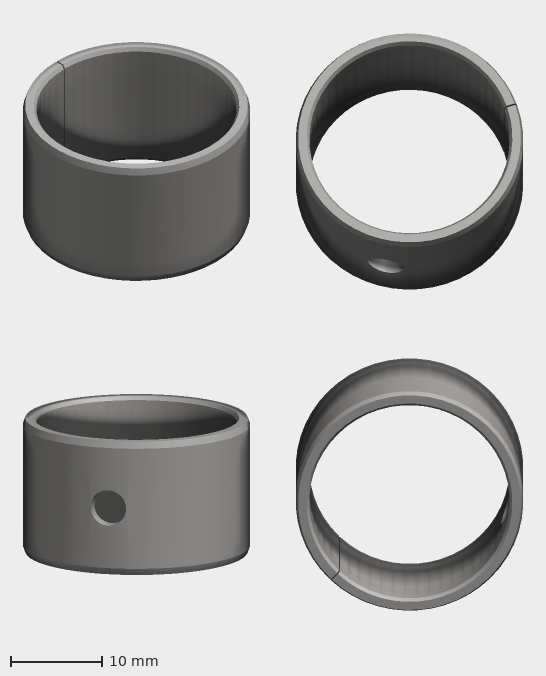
import cadquery as cq

outer_radius = 12.5
wall = 1.5
height = 15.0
inner_radius = outer_radius - wall

outer_chamfer_height = 0.75
outer_chamfer_depth = 0.28
inner_chamfer_height = 0.42
inner_chamfer_depth = 0.3

slit_width = 0.18

hole_diameter = 4.0
hole_angle = 59.0


def make_sleeve():
    """Revolve the chamfered wall section around Z."""
    section = [
        (inner_radius, inner_chamfer_height),
        (inner_radius + inner_chamfer_depth, 0),
        (outer_radius - outer_chamfer_depth, 0),
        (outer_radius, outer_chamfer_height),
        (outer_radius, height - outer_chamfer_height),
        (outer_radius - outer_chamfer_depth, height),
        (inner_radius + inner_chamfer_depth, height),
        (inner_radius, height - inner_chamfer_height),
    ]
    return cq.Workplane("XZ").polyline(section).close().revolve(360, (0, 0, 0), (0, 1, 0))


def make_slit():
    """Thin block reaching from the axis out past the -X wall."""
    slit = cq.Workplane("XY").box(2 * outer_radius, slit_width, height, centered=(True, True, False))
    return slit.translate((-outer_radius, 0, 0))


def make_oil_hole():
    """Cylinder from the axis out past one side of the wall."""
    drill = cq.Workplane("YZ").center(0, height / 2).circle(hole_diameter / 2).extrude(2 * outer_radius)
    return drill.rotate((0, 0, 0), (0, 0, 1), hole_angle)


result = make_sleeve().cut(make_slit()).cut(make_oil_hole())